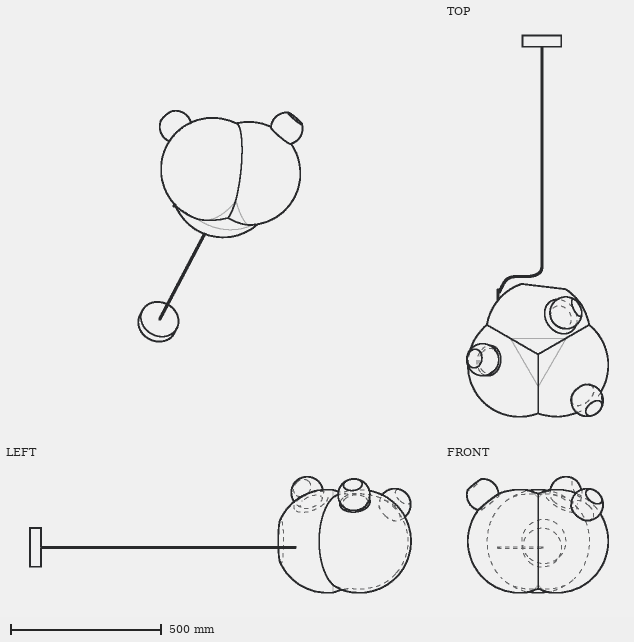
import cadquery as cq
import math

lobe_radius = 172.0
lobe_offset = 71.0
rim_offset = 53.0
cone_radius_at_axis = 156.0
rear_angle, left_angle, right_angle = 90, 210, 330

back_flat_angle = 83.2
back_flat_distance = 156.0

bulb_radius = 53.0
bulb_end_distance = 43.0
bulb_distance = 197.0
rear_seat_radius = 61.0
left_seat_radius = 50.0
right_seat_radius = 44.0
left_direction = cq.Vector(-0.62, 0.09, 0.78)
right_direction = cq.Vector(0.51, -0.59, 0.61)
rear_direction = cq.Vector(0.47, 0.34, 0.82)
rear_tip_direction = cq.Vector(0.84, 0.4, 0.37)
bulb_places = [
    (rear_angle, rear_direction, rear_tip_direction, rear_seat_radius),
    (left_angle, left_direction, left_direction, left_seat_radius),
    (right_angle, right_direction, right_direction, right_seat_radius),
]

total_length = 1265
canopy_diameter = 129.0
canopy_thickness = 38.0
cable_diameter = 5.0
cable_x = 13.0
cable_z = -20.0

front_y = lobe_offset * math.sin(math.radians(left_angle)) - lobe_radius
canopy_back_y = front_y + total_length
canopy_front_y = canopy_back_y - canopy_thickness


def direction(angle):
    """Horizontal unit vector at an angle from +X."""
    return cq.Vector(math.cos(math.radians(angle)), math.sin(math.radians(angle)), 0)


def lobe_center(angle):
    return direction(angle) * lobe_offset


def flat_cutter(center, normal, distance):
    """Block that removes everything beyond a plane at a distance from a centre."""
    size = 2 * lobe_radius
    plane = cq.Plane(origin=center + normal * distance, normal=normal)
    return cq.Workplane(plane).rect(size, size).extrude(lobe_radius)


def make_lobe(angle):
    """Spherical dome with a conical inner end, turned about the lobe's radial axis."""
    rim_radius = math.sqrt(lobe_radius**2 - (lobe_offset - rim_offset) ** 2)
    diagonal = lobe_radius * math.sqrt(0.5)
    profile = (
        cq.Workplane("XY")
        .lineTo(0, cone_radius_at_axis)
        .lineTo(rim_offset, rim_radius)
        .threePointArc((lobe_offset + diagonal, diagonal), (lobe_offset + lobe_radius, 0))
        .close()
    )
    lobe = profile.revolve(360, (0, 0, 0), (1, 0, 0))
    reach = lobe_offset + lobe_radius
    side = reach * math.tan(math.radians(60))
    sector = (
        cq.Workplane("XY", origin=(0, 0, -lobe_radius))
        .polyline([(0, 0), (reach, -side), (reach, side)])
        .close()
        .extrude(2 * lobe_radius)
    )
    return lobe.intersect(sector).rotate((0, 0, 0), (0, 0, 1), angle)


def seat_distance(seat_radius):
    return math.sqrt(lobe_radius**2 - seat_radius**2)


def make_bulb(angle, axis, tip_direction, seat_radius):
    """Ball cut flat at its outer end and at the seat on the lobe."""
    seat_to_center = bulb_distance - seat_distance(seat_radius)
    center = lobe_center(angle) + axis.normalized() * bulb_distance
    ball = cq.Workplane("XY").sphere(bulb_radius).translate(center)
    ball = ball.cut(flat_cutter(center, tip_direction.normalized(), bulb_end_distance))
    return ball.cut(flat_cutter(center, -axis.normalized(), seat_to_center))


def make_canopy():
    return (
        cq.Workplane("XZ", origin=(cable_x, canopy_back_y, cable_z))
        .circle(canopy_diameter / 2)
        .extrude(canopy_thickness)
    )


def make_cable():
    """Straight drop from the canopy, then an S bend into the side of the rear lobe."""
    bend_start_y = 291.0
    bend_points = [
        (-5.0, 265.0),
        (-61.0, 258.0),
        (-110.0, 242.0),
        (-130.0, 206.0),
        (-133.0, 165.0),
    ]
    path = (
        cq.Workplane("XY", origin=(0, 0, cable_z))
        .moveTo(cable_x, canopy_front_y)
        .lineTo(cable_x, bend_start_y)
        .spline(bend_points, tangents=[(0, -1), (0, -1)], includeCurrent=True)
    )
    section = cq.Workplane("XZ", origin=(cable_x, canopy_front_y, cable_z))
    return section.circle(cable_diameter / 2).sweep(path)


def make_shade():
    """Three joined lobes, each with a bulb seat, and the flat on the rear lobe."""
    shade = cq.Workplane("XY")
    for angle, axis, _, seat_radius in bulb_places:
        seat = flat_cutter(lobe_center(angle), axis.normalized(), seat_distance(seat_radius))
        lobe = make_lobe(angle).cut(seat)
        if angle == rear_angle:
            back = flat_cutter(lobe_center(angle), direction(back_flat_angle), back_flat_distance)
            lobe = lobe.cut(back)
        shade = shade.add(lobe)
    return shade.combine()


def make_fixture():
    """Shade, cable and canopy as one solid."""
    return make_shade().union(make_cable()).union(make_canopy())


fixture = make_fixture()
bulbs = [make_bulb(*place) for place in bulb_places]

result = cq.Compound.makeCompound([fixture.solids().val(), *[bulb.val() for bulb in bulbs]])